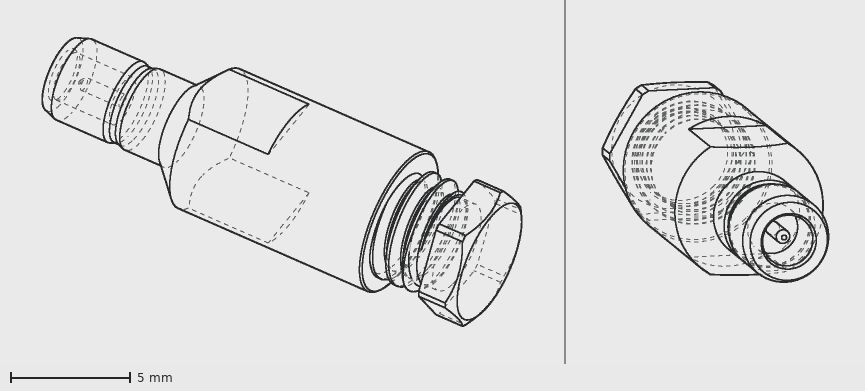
import cadquery as cq
import math

MATING_CHAMFER_END = 0.56
GROOVE_START = 3.09
GROOVE_FLOOR_START = 3.34
GROOVE_FLOOR_END = 3.63
GROOVE_END = 3.9
SHOULDER_START = 5.8
FLATS_END = 11.03
BODY_END = 16.5
THREAD_END = 18.54
HEX_START = 19.25
HEX_CHAMFER_START = 20.54
TOTAL_LENGTH = 20.85

MATING_FACE_RADIUS = 1.67
BARREL_RADIUS = 1.85
GROOVE_RADIUS = 1.75
BODY_DIAMETER = 6.4
BODY_RADIUS = BODY_DIAMETER / 2
BODY_EDGE_CHAMFER = 0.08
FLAT_HALF_HEIGHT = 2.73
NECK_RADIUS = 1.98
HEX_ACROSS_FLATS = 5.53
HEX_CORNER_RADIUS = 3.1
HEX_END_RADIUS = 2.65

SHOULDER_END = SHOULDER_START + BODY_RADIUS - BARREL_RADIUS

SOCKET_MOUTH_RADIUS = 1.19
SOCKET_RADIUS = 1.08
SOCKET_CHAMFER_LENGTH = 0.19
SOCKET_DEPTH = 2.92
PIN_RADIUS = 0.3
PIN_TIP_RADIUS = 0.1
PIN_TIP_LENGTH = 0.2
PIN_START = 0.83

THREAD_CREST_RADIUS = 2.5
THREAD_PITCH = 0.8
THREAD_START = 15.18
THREAD_LENGTH = 3.96
CREST_WIDTH = 0.15
FLANK_ANGLE = 27.0
ROOT_OVERLAP = 0.06
THREAD_END_STEP = 0.1


def revolve_about_x(points):
    """Revolve a closed (x, radius) outline about the X axis."""
    return cq.Workplane("XY").polyline(points).close().revolve(360, (0, 0, 0), (1, 0, 0))


def make_turned_body():
    return revolve_about_x([
        (0, 0),
        (0, MATING_FACE_RADIUS),
        (MATING_CHAMFER_END, BARREL_RADIUS),
        (GROOVE_START, BARREL_RADIUS),
        (GROOVE_FLOOR_START, GROOVE_RADIUS),
        (GROOVE_FLOOR_END, GROOVE_RADIUS),
        (GROOVE_END, BARREL_RADIUS),
        (SHOULDER_START, BARREL_RADIUS),
        (SHOULDER_END, BODY_RADIUS),
        (BODY_END - BODY_EDGE_CHAMFER, BODY_RADIUS),
        (BODY_END, BODY_RADIUS - BODY_EDGE_CHAMFER),
        (BODY_END, NECK_RADIUS),
        (HEX_START, NECK_RADIUS),
        (HEX_START, 0),
    ])


def cut_wrench_flats(body):
    """Mill the top and bottom flats over the front part of the body."""
    depth = BODY_RADIUS - FLAT_HALF_HEIGHT
    length = FLATS_END - SHOULDER_START
    for side in (-1, 1):
        cutter = cq.Workplane("XY").box(length, 2 * BODY_RADIUS, 2 * depth).translate(
            (SHOULDER_START + length / 2, 0, side * (FLAT_HALF_HEIGHT + depth))
        )
        body = body.cut(cutter)
    return body


def make_socket():
    """Blind bore with a chamfered mouth, less the pin that stands on its floor."""
    return revolve_about_x([
        (PIN_START, 0),
        (0, 0),
        (0, SOCKET_MOUTH_RADIUS),
        (SOCKET_CHAMFER_LENGTH, SOCKET_RADIUS),
        (SOCKET_DEPTH, SOCKET_RADIUS),
        (SOCKET_DEPTH, PIN_RADIUS),
        (PIN_START + PIN_TIP_LENGTH, PIN_RADIUS),
        (PIN_START, PIN_TIP_RADIUS),
    ])


def make_thread():
    """Helical ridge, trimmed at its free end by a 45 degree lead-in."""
    root_radius = NECK_RADIUS - ROOT_OVERLAP
    crest_half = CREST_WIDTH / 2
    root_half = crest_half + (THREAD_CREST_RADIUS - root_radius) * math.tan(math.radians(FLANK_ANGLE))
    helix = cq.Wire.makeHelix(
        THREAD_PITCH, THREAD_LENGTH, root_radius, cq.Vector(0, 0, 0), cq.Vector(0, 0, 1)
    )
    ridge = (
        cq.Workplane("XZ")
        .polyline([
            (root_radius, -root_half),
            (THREAD_CREST_RADIUS, -crest_half),
            (THREAD_CREST_RADIUS, crest_half),
            (root_radius, root_half),
        ])
        .close()
        .sweep(cq.Workplane(obj=helix), isFrenet=True)
    )
    ridge = ridge.rotate((0, 0, 0), (0, 1, 0), 90).translate((THREAD_START, 0, 0))

    end_radius = NECK_RADIUS + THREAD_END_STEP
    lead_in_start = THREAD_END - (THREAD_CREST_RADIUS - end_radius)
    outer = BODY_RADIUS - BODY_EDGE_CHAMFER
    envelope = revolve_about_x([
        (BODY_END - THREAD_PITCH, 0),
        (BODY_END - THREAD_PITCH, outer),
        (lead_in_start - (outer - THREAD_CREST_RADIUS), outer),
        (THREAD_END, end_radius),
        (THREAD_END, 0),
    ])
    return ridge.intersect(envelope)


def make_hex_head():
    """Hexagon with flats facing +-Z, corners turned round and the end chamfered."""
    corner_diameter = HEX_ACROSS_FLATS / math.cos(math.pi / 6)
    hexagon = (
        cq.Workplane("YZ", origin=(HEX_START, 0, 0))
        .polygon(6, corner_diameter)
        .extrude(TOTAL_LENGTH - HEX_START)
    )
    turned_blank = revolve_about_x([
        (HEX_START, 0),
        (HEX_START, HEX_CORNER_RADIUS),
        (HEX_CHAMFER_START, HEX_CORNER_RADIUS),
        (TOTAL_LENGTH, HEX_END_RADIUS),
        (TOTAL_LENGTH, 0),
    ])
    return hexagon.intersect(turned_blank)


body = cut_wrench_flats(make_turned_body()).cut(make_socket())
result = body.union(make_thread()).union(make_hex_head())

result = result.translate((-TOTAL_LENGTH / 2, 0, 0))